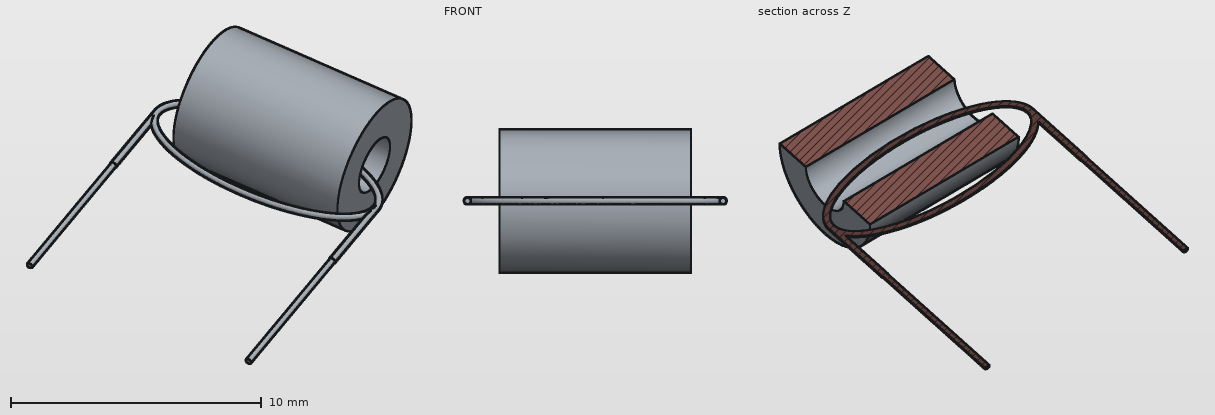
import cadquery as cq

core_length = 7.65
core_diameter = 5.74
bore_diameter = 2.4

sheath_diameter = 0.30
conductor_diameter = 0.26

overall_width = 10.5
overall_depth = 14.73
turn_half_width = (overall_width - sheath_diameter) / 2
turn_half_depth = 2.0
turn_center_y = -turn_half_depth

conductor_end_y = core_diameter / 2 - overall_depth
sheath_end_y = -5.39


def make_core():
    """Ferrite tube, centered along X."""
    end_plane = cq.Workplane("YZ", origin=(-core_length / 2, 0, 0))
    return end_plane.circle(core_diameter / 2).circle(bore_diameter / 2).extrude(core_length)


def round_section(side, diameter):
    """Wire section where the turn meets a leg; side is -1 or +1 along X."""
    return cq.Workplane("XZ", origin=(side * turn_half_width, turn_center_y, 0)).circle(diameter / 2)


def half_turn(start_side, diameter):
    """Counterclockwise half of the oval: the rear run from side +1, the front run from side -1."""
    start_angle = 0 if start_side > 0 else 180
    path = (
        cq.Workplane("XY", origin=(0, turn_center_y, 0))
        .moveTo(start_side * turn_half_width, 0)
        .ellipseArc(
            turn_half_width,
            turn_half_depth,
            start_angle,
            start_angle + 180,
            startAtCurrent=True,
        )
    )
    return round_section(start_side, diameter).sweep(path)


def straight_leg(side, diameter, end_y):
    """Straight leg from one end of the turn to end_y."""
    return round_section(side, diameter).extrude(turn_center_y - end_y)


def turn_with_legs(diameter, end_y):
    """One solid holding the whole oval turn and both legs."""
    wire = half_turn(1, diameter)
    for side in (-1, 1):
        wire = wire.union(straight_leg(side, diameter, end_y))
    return wire.union(half_turn(-1, diameter))


core = make_core()
conductor = turn_with_legs(conductor_diameter, conductor_end_y)
sheath = turn_with_legs(sheath_diameter, sheath_end_y).cut(conductor)

result = cq.Compound.makeCompound([core.val(), *sheath.solids().vals(), *conductor.solids().vals()])